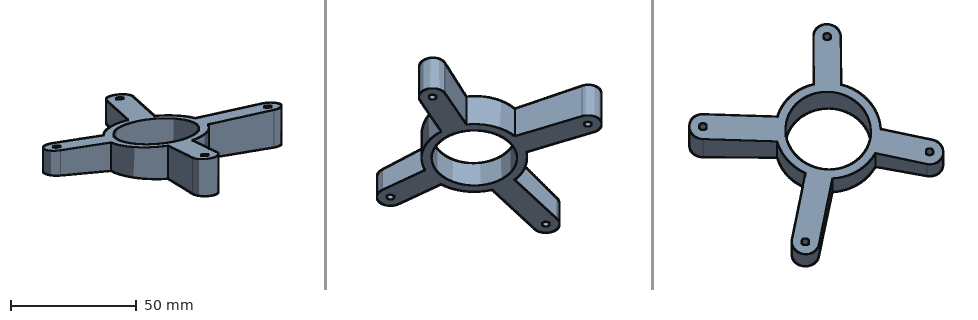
import cadquery as cq
import math

SPAN = 75.0
LOW_HEIGHT = 10.0
HIGH_HEIGHT = 16.0

RING_CENTER_Y = -6.15
RING_DIAMETER = 42.0
BORE_DIAMETER = 34.0

TIP_RADIUS = 5.5
ARM_WIDTH = 2 * TIP_RADIUS
TIP_HOLE_DIAMETER = 3.0

half_span = SPAN / 2
tip_offset = half_span - TIP_RADIUS
tip_points = [(sx * tip_offset, sy * tip_offset) for sx in (-1, 1) for sy in (-1, 1)]


def arm(tip_x, tip_y):
    """Straight bar from the ring centre to a tip, ending in a full round."""
    run_y = tip_y - RING_CENTER_Y
    length = math.hypot(tip_x, run_y)
    angle = math.degrees(math.atan2(run_y, tip_x))
    bar = (
        cq.Workplane("XY")
        .center(length / 2, 0)
        .rect(length, ARM_WIDTH)
        .extrude(HIGH_HEIGHT)
        .rotate((0, 0, 0), (0, 0, 1), angle)
        .translate((0, RING_CENTER_Y, 0))
    )
    tip = cq.Workplane("XY").center(tip_x, tip_y).circle(TIP_RADIUS).extrude(HIGH_HEIGHT)
    return bar.union(tip)


def sloped_envelope():
    """Wedge whose top face rises steadily from -X to +X."""
    return (
        cq.Workplane("XZ")
        .polyline([
            (-half_span, 0),
            (half_span, 0),
            (half_span, HIGH_HEIGHT),
            (-half_span, LOW_HEIGHT),
        ])
        .close()
        .extrude(half_span, both=True)
    )


body = cq.Workplane("XY").center(0, RING_CENTER_Y).circle(RING_DIAMETER / 2).extrude(HIGH_HEIGHT)
for tip_x, tip_y in tip_points:
    body = body.union(arm(tip_x, tip_y))

bore = cq.Workplane("XY").center(0, RING_CENTER_Y).circle(BORE_DIAMETER / 2).extrude(HIGH_HEIGHT)
tip_holes = cq.Workplane("XY").pushPoints(tip_points).circle(TIP_HOLE_DIAMETER / 2).extrude(HIGH_HEIGHT)
body = body.cut(bore).cut(tip_holes)

result = body.intersect(sloped_envelope())